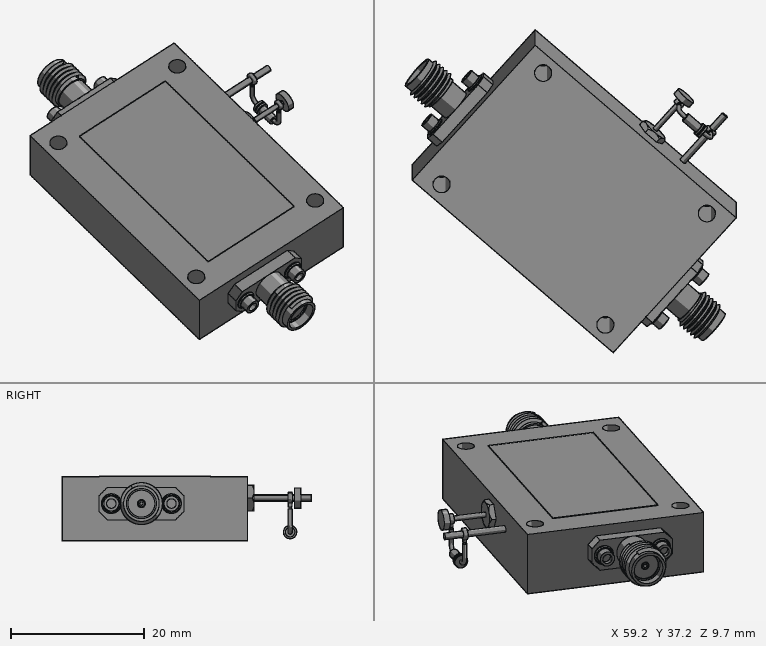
import cadquery as cq
import math

BODY_X = 40.1
BODY_Y = 27.75
BODY_Z = 9.6
LABEL_X = 30.55
LABEL_Y = 16.55
LABEL_THICKNESS = 0.1
MOUNT_HOLE_DIA = 2.55
MOUNT_HOLE_SPACING_X = 32.65
MOUNT_HOLE_SPACING_Y = 22.9

OVERALL_X = 59.2
CONNECTOR_LENGTH = (OVERALL_X - BODY_X) / 2
CONNECTOR_Y = -2.0
CONNECTOR_Z = 5.55
FLANGE_WIDTH = 12.65
FLANGE_HEIGHT = 4.85
FLANGE_CHAMFER = 1.25
FLANGE_THICKNESS = 1.85
BARREL_DIA = 4.85
NOSE_DIA = 5.3
NOSE_LENGTH = 4.8
BORE_DIA = 4.5
BORE_DEPTH = 1.3
BORE_STEP_DIA = 4.0
BORE_STEP_DEPTH = 0.25
CONTACT_WELL_DIA = 1.2
CONTACT_DIA = 0.95
CONTACT_HOLE_DIA = 0.51
CONTACT_DEPTH = 1.8

THREAD_DIA = 6.3
THREAD_PITCH = 0.7
THREAD_BASE = 0.65
THREAD_TURNS = 5
THREAD_START = 4.45
THREAD_START_ANGLE = -60
THREAD_OVERLAP = 0.05

SCREW_SPACING = 9.0
WASHER_DIA = 2.95
WASHER_THICKNESS = 0.35
WASHER_CHAMFER = 0.2
SCREW_HEAD_DIA = 2.25
SCREW_HEAD_HEIGHT = 1.4
SOCKET_DIA = 1.4
SOCKET_DEPTH = 0.75

PIN_Z = 6.4
SUPPLY_PIN_X = -9.35
SUPPLY_PIN_DIA = 1.0
SUPPLY_PIN_LENGTH = 9.5
GROUND_PIN_X = -3.0
GROUND_PIN_DIA = 0.75
GROUND_PIN_LENGTH = 7.95
GROUND_DISC_DIA = 3.1
GROUND_DISC_THICKNESS = 0.95
NUT_ACROSS_CORNERS = 4.5
NUT_THICKNESS = 0.95
NUT_EDGE_CHAMFER = 0.3

LEAD_DIA = 0.65
LEAD_BEND_RADIUS = 1.25
STEM_DIA = 0.6
NECK_DIA = 0.35
NECK_TOP = 1.3
NECK_BOTTOM = 1.6
LEAD_Y = 6.35
SUPPLY_RING_DIA = 1.85
GROUND_RING_DIA = 1.55
RING_FILLET = 0.2
COMPONENT_Z = 1.3
COMPONENT_X_MIN = -7.8
COMPONENT_X_MAX = -4.3
COMPONENT_DIA = 1.4
COLLAR_DIA = 2.0
COLLAR_WIDTH = 0.35
COLLAR_GAP = 0.2

BACK_FACE_Y = BODY_Y / 2


def cylinder(dia, start, end):
    """Cylinder on the Z axis between two heights."""
    return cq.Workplane("XY").workplane(offset=start).circle(dia / 2).extrude(end - start)


def post(x, dia, start, end):
    """Cylinder parallel to Y at pin height, with both ends measured out from the +Y face."""
    return cylinder(dia, start, end).rotate((0, 0, 0), (1, 0, 0), -90).translate((x, BACK_FACE_Y, PIN_Z))


def housing():
    """Block with corner mounting holes and a raised label."""
    block = cq.Workplane("XY").box(BODY_X, BODY_Y, BODY_Z, centered=(True, True, False))
    label = (
        cq.Workplane("XY").workplane(offset=BODY_Z)
        .rect(LABEL_X, LABEL_Y).extrude(LABEL_THICKNESS)
    )
    holes = (
        cq.Workplane("XY")
        .rect(MOUNT_HOLE_SPACING_X, MOUNT_HOLE_SPACING_Y, forConstruction=True)
        .vertices().circle(MOUNT_HOLE_DIA / 2).extrude(BODY_Z)
    )
    return block.union(label).cut(holes)


def thread():
    """Helical V ridge around the connector nose."""
    root_radius = NOSE_DIA / 2 - THREAD_OVERLAP
    half_base = THREAD_BASE / 2
    start = CONNECTOR_LENGTH - THREAD_START
    helix = cq.Wire.makeHelix(THREAD_PITCH, THREAD_TURNS * THREAD_PITCH, root_radius)
    return (
        cq.Workplane("XZ")
        .moveTo(root_radius, -half_base)
        .lineTo(THREAD_DIA / 2, 0)
        .lineTo(root_radius, half_base)
        .close()
        .sweep(cq.Workplane(helix), isFrenet=True)
        .rotate((0, 0, 0), (0, 0, 1), THREAD_START_ANGLE)
        .translate((0, 0, start))
    )


def flange_screw():
    """Chamfered washer and screw with a round recess in its head, standing on the flange."""
    head_base = FLANGE_THICKNESS + WASHER_THICKNESS
    head_top = head_base + SCREW_HEAD_HEIGHT
    washer = cylinder(WASHER_DIA, FLANGE_THICKNESS, head_base).faces(">Z").chamfer(WASHER_CHAMFER)
    head = cylinder(SCREW_HEAD_DIA, head_base, head_top)
    socket = cylinder(SOCKET_DIA, head_top - SOCKET_DEPTH, head_top)
    return washer.union(head).cut(socket)


def connector(side):
    """Connector on the -X face (side = -1) or the +X face (side = 1)."""
    tip = CONNECTOR_LENGTH
    step = tip - BORE_DEPTH
    floor = step - BORE_STEP_DEPTH
    flange = (
        cq.Workplane("XY").rect(FLANGE_WIDTH, FLANGE_HEIGHT).extrude(FLANGE_THICKNESS)
        .edges("|Z").chamfer(FLANGE_CHAMFER)
    )
    shell = flange.union(cylinder(BARREL_DIA, 0, tip - NOSE_LENGTH))
    shell = shell.union(cylinder(NOSE_DIA, tip - NOSE_LENGTH, tip)).union(thread())
    shell = shell.cut(cylinder(BORE_DIA, step, tip)).cut(cylinder(BORE_STEP_DIA, floor, step))
    contact = cylinder(CONTACT_DIA, floor - CONTACT_DEPTH, floor)
    contact = contact.cut(cylinder(CONTACT_HOLE_DIA, floor - CONTACT_DEPTH, floor))
    shell = shell.cut(cylinder(CONTACT_WELL_DIA, floor - CONTACT_DEPTH, floor)).union(contact)
    for offset in (-SCREW_SPACING / 2, SCREW_SPACING / 2):
        shell = shell.union(flange_screw().translate((offset, 0, 0)))
    mount = cq.Plane(
        origin=(side * BODY_X / 2, CONNECTOR_Y, CONNECTOR_Z),
        xDir=(0, -side, 0),
        normal=(side, 0, 0),
    )
    return cq.Workplane(shell.val().moved(cq.Location(mount)))


def nut():
    """Hexagonal nut around the ground pin, with its outer corners turned off."""
    hexagon = cq.Workplane("XY").polygon(6, NUT_ACROSS_CORNERS).extrude(NUT_THICKNESS)
    turned = cylinder(NUT_ACROSS_CORNERS, 0, NUT_THICKNESS).faces(">Z").chamfer(NUT_EDGE_CHAMFER)
    return (
        hexagon.intersect(turned)
        .rotate((0, 0, 0), (1, 0, 0), -90)
        .translate((GROUND_PIN_X, BACK_FACE_Y, PIN_Z))
    )


def pins():
    """Plain supply pin, and ground pin with its end disc and nut."""
    supply = post(SUPPLY_PIN_X, SUPPLY_PIN_DIA, 0, SUPPLY_PIN_LENGTH)
    ground = post(GROUND_PIN_X, GROUND_PIN_DIA, 0, GROUND_PIN_LENGTH)
    disc = post(
        GROUND_PIN_X, GROUND_DISC_DIA,
        GROUND_PIN_LENGTH - GROUND_DISC_THICKNESS, GROUND_PIN_LENGTH,
    )
    return supply.union(ground).union(disc).union(nut())


def lead(pin_x, ring_dia, component_x):
    """Ring and necked stem on a pin, and the wire that bends from there to the component."""
    toward = math.copysign(1, component_x - pin_x)
    bend_end_x = pin_x + toward * LEAD_BEND_RADIUS
    bend_start_z = COMPONENT_Z + LEAD_BEND_RADIUS
    bend_middle = LEAD_BEND_RADIUS * (1 - math.sqrt(0.5))
    lead_y = BACK_FACE_Y + LEAD_Y
    path = (
        cq.Workplane("XZ", origin=(0, lead_y, 0))
        .moveTo(pin_x, PIN_Z - NECK_BOTTOM)
        .lineTo(pin_x, bend_start_z)
        .threePointArc(
            (pin_x + toward * bend_middle, COMPONENT_Z + bend_middle),
            (bend_end_x, COMPONENT_Z),
        )
        .lineTo(component_x, COMPONENT_Z)
    )
    wire = (
        cq.Workplane("XY", origin=(pin_x, lead_y, PIN_Z - NECK_BOTTOM))
        .circle(LEAD_DIA / 2).sweep(path)
    )
    stem = cylinder(STEM_DIA, -NECK_TOP, 0).union(cylinder(NECK_DIA, -NECK_BOTTOM, 0))
    stem = stem.translate((pin_x, lead_y, PIN_Z))
    ring = post(pin_x, ring_dia, LEAD_Y - LEAD_DIA / 2, LEAD_Y + LEAD_DIA / 2)
    return wire.union(stem).union(ring.edges().fillet(RING_FILLET))


def component():
    """Cylindrical body parallel to X with two collars at its -X end."""
    length = COMPONENT_X_MAX - COMPONENT_X_MIN
    shape = cylinder(COMPONENT_DIA, 0, length)
    for start in (0, COLLAR_WIDTH + COLLAR_GAP):
        shape = shape.union(cylinder(COLLAR_DIA, start, start + COLLAR_WIDTH))
    return (
        shape.rotate((0, 0, 0), (0, 1, 0), 90)
        .translate((COMPONENT_X_MIN, BACK_FACE_Y + LEAD_Y, COMPONENT_Z))
    )


result = housing()
for side in (-1, 1):
    result = result.union(connector(side))
result = result.union(pins())
result = result.union(lead(SUPPLY_PIN_X, SUPPLY_RING_DIA, COMPONENT_X_MIN))
result = result.union(lead(GROUND_PIN_X, GROUND_RING_DIA, COMPONENT_X_MAX))
result = result.union(component())